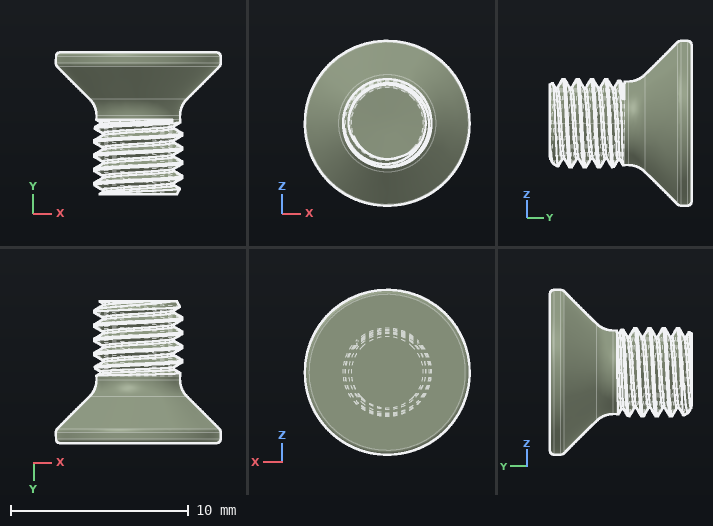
import cadquery as cq
import math


head_radius = 4.65
length = 8.0

top_edge_radius = 0.25
rim_depth = 0.735
rim_edge_radius = 0.28
cone_end_depth = 2.64
cone_angle = math.radians(45)
cone_end_radius = head_radius - (cone_end_depth - rim_depth) * math.tan(cone_angle)
neck_radius = 2.36
neck_end_depth = 3.78

pitch = 0.8
major_radius = 2.49
minor_radius = 2.02
root_width = 0.14
flank_angle = 30
flank_slope = math.tan(math.radians(flank_angle))
lead_in_depth = 4.56
first_root_depth = 4.22
groove_turns = 5
runout_pitch = 0.56
runout_turns = 0.9
runout_rise = 0.335
overcut = 0.05

tip_radius = 2.18
tip_chamfer_length = 0.56
dish_radius = 2.06
dish_depth = 0.065


def make_blank():
    """Head, neck and unthreaded shank as one turned body."""
    fillet_radius = (cone_end_radius - neck_radius) / (1 - math.cos(cone_angle))
    fillet_end_depth = cone_end_depth + fillet_radius * math.sin(cone_angle)
    mid_angle = cone_angle / 2
    fillet_mid = (
        neck_radius + fillet_radius * (1 - math.cos(mid_angle)),
        fillet_end_depth - fillet_radius * math.sin(mid_angle),
    )
    profile = (
        cq.Workplane("XZ")
        .moveTo(0, 0)
        .lineTo(head_radius, 0)
        .lineTo(head_radius, rim_depth)
        .lineTo(cone_end_radius, cone_end_depth)
        .threePointArc(fillet_mid, (neck_radius, fillet_end_depth))
        .lineTo(neck_radius, neck_end_depth)
        .lineTo(major_radius, lead_in_depth)
        .lineTo(major_radius, length - tip_chamfer_length)
        .lineTo(tip_radius, length)
        .lineTo(dish_radius, length)
        .lineTo(0, length - dish_depth)
        .close()
    )
    body = profile.revolve(360, (0, 0, 0), (0, 1, 0))
    body = body.faces("<Z").edges().fillet(top_edge_radius)
    margin = 0.01
    reach = head_radius + margin
    rim_corner = cq.selectors.BoxSelector(
        (-reach, -reach, rim_depth - margin),
        (reach, reach, rim_depth + margin),
    )
    return body.edges(rim_corner).fillet(rim_edge_radius)


def groove_profile():
    """Trapezoidal groove section in the XZ plane at the first full-depth root."""
    outer_radius = major_radius + overcut
    half_root = root_width / 2
    half_mouth = half_root + (outer_radius - minor_radius) * flank_slope
    return (
        cq.Workplane("XZ", origin=(0, 0, first_root_depth))
        .moveTo(minor_radius, -half_root)
        .lineTo(outer_radius, -half_mouth)
        .lineTo(outer_radius, half_mouth)
        .lineTo(minor_radius, half_root)
        .close()
    )


def make_groove_turn():
    """First full-depth turn of the helical groove."""
    start = cq.Vector(0, 0, first_root_depth)
    helix = cq.Wire.makeHelix(pitch, pitch, minor_radius, start)
    return groove_profile().sweep(cq.Workplane(helix), isFrenet=True)


def make_runout():
    """Partial turn of groove that becomes shallower towards the neck."""
    taper = math.degrees(math.atan(runout_rise / runout_pitch))
    start = cq.Vector(0, 0, -first_root_depth)
    helix = cq.Wire.makeHelix(
        runout_pitch, runout_pitch * runout_turns, minor_radius, start, angle=taper, lefthand=True
    ).mirror("XY")
    return groove_profile().sweep(cq.Workplane(helix), isFrenet=True)


neck_guard = cq.Workplane("XY").circle(head_radius).extrude(neck_end_depth)
body = make_blank().cut(make_runout().cut(neck_guard))
groove_turn = make_groove_turn()
for turn in range(groove_turns):
    body = body.cut(groove_turn.translate((0, 0, turn * pitch)))

result = body.rotate((0, 0, 0), (1, 0, 0), 90)